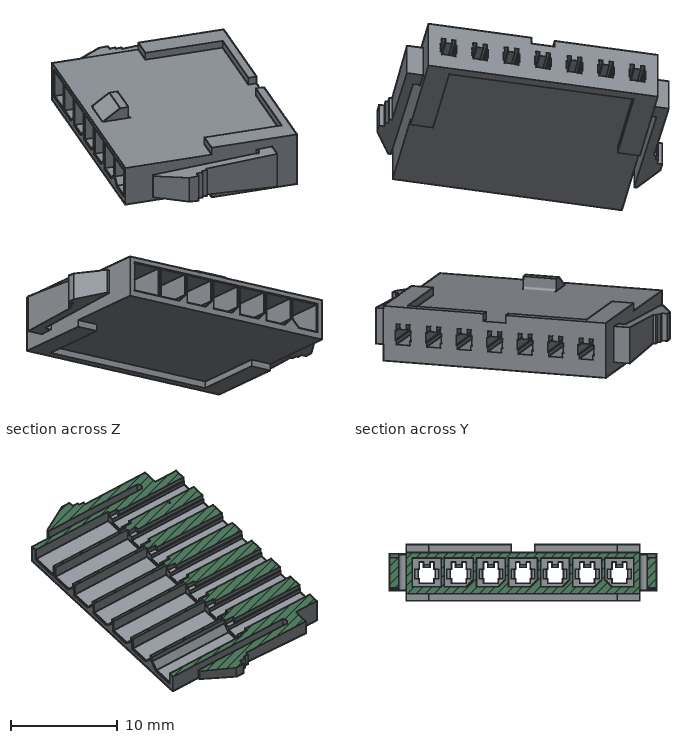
import cadquery as cq
import math

overall_width = 27.05
body_width = 21.88
body_depth = 16.9
body_height = 3.9
lower_rim_height = 0.65
upper_rim_height = 0.73
body_top = lower_rim_height + body_height

rim_leg_width = 2.15
rim_leg_length = 8.4
rim_bar_depth = 0.8
rim_gap_width = 2.2

wedge_width = 3.25
wedge_height = 1.15
wedge_front = 0.85
wedge_crest_front = 2.57
wedge_back = 3.38
wedge_root_radius = 0.25

cavity_count = 7
cavity_pitch = 3.0
cavity_size = 2.85
mouth_corner = 0.75
bore_corner = 0.65
cavity_depth = 8.5
cavity_floor_thickness = 0.6
lead_in = 0.08
cavity_floor_z = lower_rim_height + cavity_floor_thickness
cavity_centre_z = cavity_floor_z + cavity_size / 2

passage_width = 1.35
passage_bottom = 0.4
passage_top = 2.38
waist_width = 1.57
waist_bottom = 0.8
waist_top = 1.73
side_pocket_width = 2.22
side_pocket_depth = 0.8
tab_width = 0.62
tab_bottom = 1.9
tab_step_bottom = 2.15
tab_step_depth = 0.8

arm_root = 2.45
arm_slot_end = 3.87
arm_slot_sagitta = 0.15
arm_inner_x = 11.6
arm_outer_x = 12.5
arm_step_1 = 9.47
arm_step_1_x = 12.77
arm_step_2 = 9.98
arm_step_2_x = 13.0
arm_hook_back = 10.55
arm_hook_front = 11.45
arm_tip = 14.45
arm_tip_x = 11.85
arm_root_bottom = 0.95
arm_root_top = 4.4
arm_tip_bottom = 1.5
arm_tip_top = 3.73


def box(width, depth, height, x=0.0, y=0.0, z=0.0):
    """Box centred on x, running back from y and up from z."""
    return cq.Workplane("XY").box(width, depth, height, centered=(True, False, False)).translate((x, y, z))


def rim(height, z):
    """U-shaped raised rim, open toward the front."""
    back_half = box(body_width, rim_leg_length, height, y=body_depth - rim_leg_length, z=z)
    opening = box(
        body_width - 2 * rim_leg_width,
        rim_leg_length - rim_bar_depth,
        height,
        y=body_depth - rim_leg_length,
        z=z,
    )
    return back_half.cut(opening)


def locking_wedge():
    """Wedge that ramps up from the front, with a concave fillet at the foot of its back face."""
    fillet_end = wedge_back + wedge_root_radius
    fillet_middle = wedge_root_radius * (1 - math.sqrt(0.5))
    return (
        cq.Workplane("YZ", origin=(0, 0, body_top))
        .moveTo(wedge_front, 0)
        .lineTo(wedge_crest_front, wedge_height)
        .lineTo(wedge_back, wedge_height)
        .lineTo(wedge_back, wedge_root_radius)
        .threePointArc((wedge_back + fillet_middle, fillet_middle), (fillet_end, 0))
        .close()
        .extrude(wedge_width / 2, both=True)
    )


def latch_arm():
    """Latch arm on the +X side: stepped hook in plan, tapering in height toward its tip."""
    body_side = body_width / 2
    slot_side_y = body_depth - arm_slot_end - arm_slot_sagitta
    plan = (
        cq.Workplane("XY")
        .moveTo(body_side, body_depth - arm_root)
        .lineTo(arm_outer_x, body_depth - arm_root)
        .lineTo(arm_outer_x, body_depth - arm_step_1)
        .lineTo(arm_step_1_x, body_depth - arm_step_1)
        .lineTo(arm_step_1_x, body_depth - arm_step_2)
        .lineTo(arm_step_2_x, body_depth - arm_step_2)
        .lineTo(arm_step_2_x, body_depth - arm_hook_back)
        .lineTo(overall_width / 2, body_depth - arm_hook_back)
        .lineTo(overall_width / 2, body_depth - arm_hook_front)
        .lineTo(arm_tip_x, body_depth - arm_tip)
        .lineTo(arm_inner_x, body_depth - arm_tip)
        .lineTo(arm_inner_x, slot_side_y)
        .threePointArc(
            ((arm_inner_x + body_side) / 2, body_depth - arm_slot_end),
            (body_side, slot_side_y),
        )
        .close()
        .extrude(body_top)
    )
    side_taper = (
        cq.Workplane("YZ")
        .moveTo(body_depth - arm_root, arm_root_bottom)
        .lineTo(body_depth - arm_root, arm_root_top)
        .lineTo(body_depth - arm_tip, arm_tip_top)
        .lineTo(body_depth - arm_tip, arm_tip_bottom)
        .close()
        .extrude(overall_width / 2)
    )
    return plan.intersect(side_taper)


def cavity_outline(size, corner, cut_corner):
    """Square section; cut_corner is -1, 0 or 1 for a lower-left, no or lower-right corner cut."""
    outline = cq.Sketch().rect(size, size)
    if cut_corner:
        side = "<X" if cut_corner < 0 else ">X"
        outline = outline.vertices(side).vertices("<Y").chamfer(corner)
    return outline.reset()


def cavity(cut_corner):
    """Cavity with a bevelled mouth, side pockets and a terminal passage to the back face."""
    front_plane = cq.Workplane("XZ", origin=(0, 0, cavity_centre_z))
    mouth_outline = cavity_outline(cavity_size, mouth_corner, cut_corner)
    bore_outline = cavity_outline(cavity_size - 2 * lead_in, bore_corner, cut_corner)
    bore = front_plane.placeSketch(bore_outline).extrude(-cavity_depth)
    bevel_end = cq.Location(cq.Vector(0, 0, -lead_in))
    mouth = front_plane.placeSketch(mouth_outline, bore_outline.moved(bevel_end)).loft()

    rear_depth = body_depth - cavity_depth

    def rear_cut(width, bottom, top, depth=rear_depth, y=cavity_depth):
        return box(width, depth, top - bottom, y=y, z=cavity_floor_z + bottom)

    upper_step = rear_cut(tab_width, tab_step_bottom, passage_top)
    lower_step = rear_cut(
        tab_width,
        tab_bottom,
        tab_step_bottom,
        depth=rear_depth - tab_step_depth,
        y=cavity_depth + tab_step_depth,
    )
    passage = rear_cut(passage_width, passage_bottom, passage_top).cut(upper_step).cut(lower_step)
    waist = rear_cut(waist_width, waist_bottom, waist_top)
    side_pockets = rear_cut(side_pocket_width, waist_bottom, waist_top, depth=side_pocket_depth)
    return bore.union(mouth).union(passage).union(waist).union(side_pockets)


housing = box(body_width, body_depth, body_height, z=lower_rim_height)
rim_gap = box(rim_gap_width, rim_bar_depth, upper_rim_height, y=body_depth - rim_bar_depth, z=body_top)
housing = housing.union(rim(lower_rim_height, 0))
housing = housing.union(rim(upper_rim_height, body_top).cut(rim_gap))

housing = housing.union(locking_wedge())

right_arm = latch_arm()
housing = housing.union(right_arm).union(right_arm.mirror("YZ"))

for index in range(cavity_count):
    if index == 0:
        cut_corner = 0
    elif index == cavity_count - 1:
        cut_corner = -1
    else:
        cut_corner = 1
    cavity_x = (index - (cavity_count - 1) / 2) * cavity_pitch
    housing = housing.cut(cavity(cut_corner).translate((cavity_x, 0, 0)))

result = housing